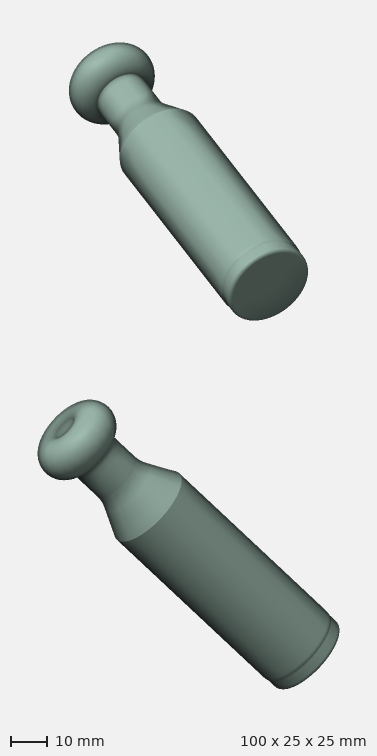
import cadquery as cq
import math

total_length = 100.0
grip_radius = 12.5
neck_radius = 7.5

tube_radius = 6.0
tube_center_x = tube_radius
tube_center_radius = grip_radius - tube_radius
dimple_depth = 0.9
seat_x = tube_center_x + math.sqrt(tube_radius**2 - (neck_radius - tube_center_radius) ** 2)

blend_start_x = 21.9
blend_radius = 10.0
cone_angle = math.radians(25)
end_radius = 12.25
end_step_start_x = 94.7
end_step_round = 3.0
rim_round = 1.1


def blend_point(angle):
    """Point on the concave blend after it has turned away from the neck by angle."""
    return (
        blend_start_x + blend_radius * math.sin(angle),
        neck_radius + blend_radius * (1 - math.cos(angle)),
    )


def round_point(start_x, start_radius, arc_radius, angle):
    """Point on a convex round that leaves a cylinder tangentially, after turning by angle."""
    return (
        start_x + arc_radius * math.sin(angle),
        start_radius - arc_radius * (1 - math.cos(angle)),
    )


def make_knob():
    """Torus fused with its hub: a dimple in front, a flat seat behind."""
    ring = (
        cq.Workplane("XY")
        .center(tube_center_x, tube_center_radius)
        .circle(tube_radius)
        .revolve(360, (0, -tube_center_radius), (1, -tube_center_radius))
    )
    hub = (
        cq.Workplane("YZ")
        .workplane(offset=dimple_depth)
        .circle(neck_radius)
        .extrude(seat_x - dimple_depth)
    )
    seat_cutter = (
        cq.Workplane("YZ")
        .workplane(offset=seat_x)
        .circle(neck_radius)
        .extrude(tube_radius)
    )
    return ring.union(hub).cut(seat_cutter)


def make_handle():
    """Turned handle, from the knob seat to the rounded rear rim."""
    blend_end = blend_point(cone_angle)
    cone_end_x = blend_end[0] + (grip_radius - blend_end[1]) / math.tan(cone_angle)
    step_angle = math.acos(1 - (grip_radius - end_radius) / end_step_round)
    rim_start_x = total_length - rim_round
    profile = (
        cq.Workplane("XY")
        .moveTo(seat_x, 0)
        .lineTo(seat_x, neck_radius)
        .lineTo(blend_start_x, neck_radius)
        .threePointArc(blend_point(cone_angle / 2), blend_end)
        .lineTo(cone_end_x, grip_radius)
        .lineTo(end_step_start_x, grip_radius)
        .threePointArc(
            round_point(end_step_start_x, grip_radius, end_step_round, step_angle / 2),
            round_point(end_step_start_x, grip_radius, end_step_round, step_angle),
        )
        .lineTo(rim_start_x, end_radius)
        .threePointArc(
            round_point(rim_start_x, end_radius, rim_round, math.pi / 4),
            (total_length, end_radius - rim_round),
        )
        .lineTo(total_length, 0)
        .close()
    )
    return profile.revolve(360, (0, 0), (1, 0))


knob = make_knob()
handle = make_handle()
result = cq.Compound.makeCompound([handle.val(), *knob.solids().vals()])